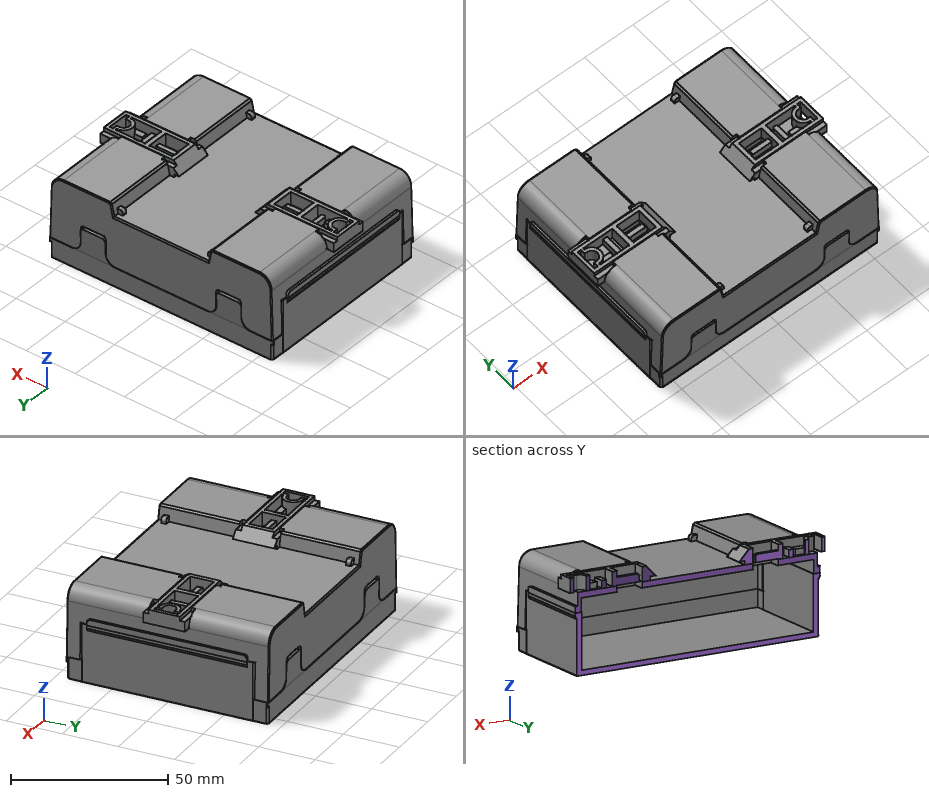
import cadquery as cq
import math

HEIGHT = 32.8
SPLIT_Z = 8.0
WALL = 2.1
REACH = 9.5

COVER_HALF_Y = 36.1
COVER_HALF_X_LOW = 45.3
COVER_HALF_X_HIGH = 44.7
CHANNEL_Z = 27.8
SHOULDER_R = HEIGHT - CHANNEL_Z
CHANNEL_FLOOR_X = 19.2
CHANNEL_TOP_X = 20.1
PAD_BEVEL_X = 0.8
PAD_BEVEL_Z = 0.6
EDGE_BEVEL = 0.4
CHANNEL_BEVEL = 0.7
CAVITY_TOP_Z = 25.65
CAVITY_HALF_X = COVER_HALF_X_LOW - WALL
CAVITY_HALF_Y = COVER_HALF_Y - WALL

OPENING_HALF_Y = 31.2
OPENING_TOP_Z = 21.1
LIP_HALF_Y = 28.5
LIP_X = 45.8
COVER_LIP_TOP_Z = 23.3
COVER_LIP_R = 1.1

PEG_X = 17.3
PEG_Y = 33.0
PEG_WIDTH = 1.8
PEG_HEIGHT = 1.9
PEG_R = 1.1

BASE_HALF_X = 45.1
BASE_HALF_Y = 35.9
BASE_CORNER_BEVEL = 0.7
BASE_BOTTOM_BEVEL = 0.4
FLOOR = 1.9
FLAP_X = 45.2
FLAP_HALF_Y = 30.5
FLAP_LIP_BOTTOM_Z = 19.0
FLAP_LIP_EDGE_Z = 20.0
EAR_X = 45.4
EAR_LOW_Z = 6.4
EAR_INNER_Y = 35.2

TAB_OUTER_X = 32.7
TAB_INNER_X = 22.3
TAB_SIDE_GAP = 0.3
TAB_TOP_Z = 17.3
TAB_TOP_GAP = 1.0
TAB_CORNER_R = 1.3
TAB_FLARE_R = 3.6
TAB_FLOOR_Y = COVER_HALF_Y - 1.2
TAB_TOP_Y = 36.24

CLIP_END_X = 47.5
CLIP_HALF_Y = 7.4
CLIP_NECK_HALF_Y = 5.6
CLIP_SHOULDER_Z = 31.35
CLIP_TOP_X = 19.1
CLIP_TIP_X = 15.5
CLIP_TIP_Z = 29.0
CLIP_FOOT_X = 17.5
POCKET_HALF_Y = 4.2
FRONT_POCKET_X = (20.7, 30.0)
REAR_POCKET_X = (31.8, 46.2)
RIB_END_X = 21.6
RIB_WIDTH = 1.8
RIB_TOP_Z = 30.7
RIB_END_BEVEL = 0.7
RING_X = 43.8
RING_R = 3.6
RING_BORE_R = 2.3
RING_END_X = 44.8
BAR_X = 34.9
BAR_WIDTH = 1.8
BAR_END_Y = 3.4
BAR_TOP_Z = 30.4
BAR_END_R = 0.6

GUIDE_NECK_HALF_Y = 5.9
GUIDE_OVERHANG_X = (22.4, 40.1)
STOP_X = (37.0, 41.8)
STOP_Y = (-3.2, -0.9)
STOP_TOP_Z = 29.9


def box(x_range, y_range, z_range):
    """Axis-aligned block between the given limits."""
    return cq.Workplane("XY").box(
        x_range[1] - x_range[0], y_range[1] - y_range[0], z_range[1] - z_range[0], centered=False
    ).translate((x_range[0], y_range[0], z_range[0]))


def mirrored(half, plane):
    """Shape together with its mirror image."""
    return half.union(half.mirror(plane))


def four_fold(quarter):
    """Quarter shape repeated in all four corners."""
    return mirrored(mirrored(quarter, "YZ"), "XZ")


def side_plane(y):
    """Sketch plane across Y, with x along X, y along Z and extrusion towards -Y."""
    return cq.Workplane("XZ", origin=(0, y, 0))


def tab_outline(y, inner_x, top_z, flare_r):
    """Snap tab seen along Y: an arch that flares out onto the joint line."""
    flare_z = SPLIT_Z + TAB_FLARE_R
    inner_flare_z = SPLIT_Z + flare_r
    outer_foot = TAB_OUTER_X + TAB_FLARE_R
    inner_foot = inner_x - flare_r
    reach = 1 - math.sqrt(0.5)
    return (
        side_plane(y)
        .moveTo(outer_foot, SPLIT_Z)
        .threePointArc(
            (TAB_OUTER_X + TAB_FLARE_R * reach, SPLIT_Z + TAB_FLARE_R * reach), (TAB_OUTER_X, flare_z)
        )
        .lineTo(TAB_OUTER_X, top_z - TAB_CORNER_R)
        .radiusArc((TAB_OUTER_X - TAB_CORNER_R, top_z), -TAB_CORNER_R)
        .lineTo(inner_x + TAB_CORNER_R, top_z)
        .radiusArc((inner_x, top_z - TAB_CORNER_R), -TAB_CORNER_R)
        .lineTo(inner_x, inner_flare_z)
        .threePointArc((inner_x - flare_r * reach, SPLIT_Z + flare_r * reach), (inner_foot, SPLIT_Z))
        .close()
    )


def snap_tabs():
    """Four snap tabs of the base, leaning outwards towards the top."""
    inner_x = TAB_INNER_X + TAB_SIDE_GAP
    outline = tab_outline(TAB_TOP_Y, inner_x, TAB_TOP_Z, TAB_FLARE_R + TAB_SIDE_GAP)
    tab = outline.extrude(TAB_TOP_Y - TAB_FLOOR_Y)
    outside = (
        cq.Workplane("YZ")
        .moveTo(BASE_HALF_Y, SPLIT_Z)
        .lineTo(TAB_TOP_Y, TAB_TOP_Z)
        .lineTo(TAB_TOP_Y + REACH, TAB_TOP_Z)
        .lineTo(TAB_TOP_Y + REACH, SPLIT_Z)
        .close()
        .extrude(COVER_HALF_X_LOW)
    )
    return four_fold(tab.cut(outside))


def snap_recesses():
    """Four recesses of the cover that take the snap tabs."""
    outline = tab_outline(COVER_HALF_Y + REACH, TAB_INNER_X, TAB_TOP_Z + TAB_TOP_GAP, TAB_FLARE_R)
    return four_fold(outline.extrude(COVER_HALF_Y + REACH - TAB_FLOOR_Y))


def cover_outline(y, bevel, floor_bevel):
    """Half of the cover seen along Y, drawn in by the bevel on all sides but the joint."""
    radius = SHOULDER_R - bevel
    side_x = COVER_HALF_X_HIGH - bevel
    top_z = HEIGHT - bevel
    arc_x = COVER_HALF_X_HIGH - SHOULDER_R
    return (
        side_plane(y)
        .moveTo(0, SPLIT_Z)
        .lineTo(COVER_HALF_X_LOW - bevel, SPLIT_Z)
        .lineTo(side_x, CHANNEL_Z)
        .radiusArc((arc_x, top_z), -radius)
        .lineTo(CHANNEL_TOP_X + PAD_BEVEL_X + bevel, top_z)
        .lineTo(CHANNEL_TOP_X + bevel, top_z - PAD_BEVEL_Z)
        .lineTo(CHANNEL_FLOOR_X + bevel, CHANNEL_Z - floor_bevel)
        .lineTo(0, CHANNEL_Z - floor_bevel)
        .close()
    )


def cover_block():
    """Solid cover with its two pads, channel and bevelled broad faces."""
    bevel_y = COVER_HALF_Y - EDGE_BEVEL
    middle = cover_outline(bevel_y, 0, 0).extrude(2 * bevel_y)
    inner_wire = cover_outline(bevel_y, 0, 0).val()
    outer_wire = cover_outline(COVER_HALF_Y, EDGE_BEVEL, CHANNEL_BEVEL).val()
    rim = cq.Workplane(cq.Solid.makeLoft([inner_wire, outer_wire], True))
    return mirrored(middle.union(mirrored(rim, "XZ")), "YZ")


def cover_lips():
    """Finger lip above each flap opening, with rounded upper corners."""
    lip = box((COVER_HALF_X_HIGH - WALL, LIP_X), (-LIP_HALF_Y, LIP_HALF_Y), (OPENING_TOP_Z, COVER_LIP_TOP_Z))
    return mirrored(lip.edges("|X and >Z").fillet(COVER_LIP_R), "YZ")


def pegs():
    """Rounded locating pegs in the corners of the channel."""
    peg = box(
        (PEG_X, CHANNEL_TOP_X + PAD_BEVEL_X),
        (PEG_Y - PEG_WIDTH / 2, PEG_Y + PEG_WIDTH / 2),
        (CHANNEL_Z, CHANNEL_Z + PEG_HEIGHT),
    )
    return four_fold(peg.edges("|Y and >Z and <X").fillet(PEG_R))


def clip_guides():
    """Slots that the clips slide in, with an overhang over the clip shoulders."""
    outer_x = CLIP_END_X + REACH
    inner_x = CLIP_TIP_X
    top_z = HEIGHT + REACH
    neck = box((inner_x, outer_x), (-GUIDE_NECK_HALF_Y, GUIDE_NECK_HALF_Y), (CHANNEL_Z, top_z))
    shoulder = box((inner_x, outer_x), (-CLIP_HALF_Y, CLIP_HALF_Y), (CHANNEL_Z, CLIP_SHOULDER_Z))
    outer_notch = box((GUIDE_OVERHANG_X[1], outer_x), (-CLIP_HALF_Y, CLIP_HALF_Y), (CHANNEL_Z, top_z))
    inner_notch = box((inner_x, GUIDE_OVERHANG_X[0]), (-CLIP_HALF_Y, CLIP_HALF_Y), (CHANNEL_Z, top_z))
    window = box(FRONT_POCKET_X, (-POCKET_HALF_Y, POCKET_HALF_Y), (CAVITY_TOP_Z, CHANNEL_Z))
    guide = neck.union(shoulder).union(outer_notch).union(inner_notch).union(window)
    return mirrored(guide, "YZ")


def clip_stops():
    """Blocks on the guide floor that stand in the rear clip pockets against the ring."""
    stop = box(STOP_X, STOP_Y, (CHANNEL_Z, STOP_TOP_Z))
    ring = cq.Workplane("XY", origin=(RING_X, 0, CHANNEL_Z)).circle(RING_R).extrude(HEIGHT - CHANNEL_Z)
    return mirrored(stop.cut(ring), "YZ")


def make_cover():
    cavity = box(
        (-CAVITY_HALF_X, CAVITY_HALF_X), (-CAVITY_HALF_Y, CAVITY_HALF_Y), (SPLIT_Z, CAVITY_TOP_Z)
    )
    openings = box(
        (-CLIP_END_X, CLIP_END_X), (-OPENING_HALF_Y, OPENING_HALF_Y), (SPLIT_Z, OPENING_TOP_Z)
    )
    return (
        cover_block()
        .union(cover_lips())
        .union(pegs())
        .cut(cavity)
        .cut(openings)
        .cut(snap_recesses())
        .cut(clip_guides())
        .union(clip_stops())
    )


def end_flaps():
    """Upright end walls filling the cover openings, each with a finger lip on top."""
    outline = (
        side_plane(FLAP_HALF_Y)
        .moveTo(FLAP_X - WALL, 0)
        .lineTo(FLAP_X - BASE_BOTTOM_BEVEL, 0)
        .lineTo(FLAP_X, BASE_BOTTOM_BEVEL)
        .lineTo(FLAP_X, OPENING_TOP_Z)
        .lineTo(FLAP_X - WALL, OPENING_TOP_Z)
        .close()
    )
    wall = outline.extrude(2 * FLAP_HALF_Y)
    lip = (
        side_plane(LIP_HALF_Y)
        .moveTo(FLAP_X, FLAP_LIP_BOTTOM_Z)
        .lineTo(LIP_X, FLAP_LIP_EDGE_Z)
        .lineTo(LIP_X, OPENING_TOP_Z)
        .lineTo(FLAP_X, OPENING_TOP_Z)
        .close()
        .extrude(2 * LIP_HALF_Y)
    )
    return mirrored(wall.union(lip), "YZ")


def make_base():
    block = box((-BASE_HALF_X, BASE_HALF_X), (-BASE_HALF_Y, BASE_HALF_Y), (0, SPLIT_Z))
    block = block.edges("|Z").chamfer(BASE_CORNER_BEVEL).faces("<Z").chamfer(BASE_BOTTOM_BEVEL)
    cavity = box((-CAVITY_HALF_X, CAVITY_HALF_X), (-CAVITY_HALF_Y, CAVITY_HALF_Y), (FLOOR, SPLIT_Z))
    ears = four_fold(
        box((CAVITY_HALF_X, EAR_X), (EAR_INNER_Y, BASE_HALF_Y), (EAR_LOW_Z, SPLIT_Z))
    )
    return block.cut(cavity).union(ears).union(end_flaps()).union(snap_tabs())


def clip_body():
    """Slider with a hooked nose and stepped shoulders."""
    body = (
        side_plane(CLIP_HALF_Y)
        .moveTo(CLIP_END_X, CHANNEL_Z)
        .lineTo(CLIP_FOOT_X, CHANNEL_Z)
        .lineTo(CLIP_FOOT_X, CLIP_TIP_Z)
        .lineTo(CLIP_TIP_X, CLIP_TIP_Z)
        .lineTo(CLIP_TOP_X, HEIGHT)
        .lineTo(CLIP_END_X, HEIGHT)
        .close()
        .extrude(2 * CLIP_HALF_Y)
    )
    shoulder = box(
        (0, CLIP_END_X), (CLIP_NECK_HALF_Y, CLIP_HALF_Y), (CLIP_SHOULDER_Z, HEIGHT)
    )
    return body.cut(mirrored(shoulder, "XZ"))


def clip_pockets():
    """Two openings that pass right through the clip."""
    y_range = (-POCKET_HALF_Y, POCKET_HALF_Y)
    z_range = (CHANNEL_Z, HEIGHT)
    return box(FRONT_POCKET_X, y_range, z_range).union(box(REAR_POCKET_X, y_range, z_range))


def clip_ring():
    """C-shaped ring in the rear pocket, joined to both side walls."""
    height = HEIGHT - CHANNEL_Z
    start = cq.Workplane("XY", origin=(RING_X, 0, CHANNEL_Z))
    ring = start.circle(RING_R).extrude(height)
    z_range = (CHANNEL_Z, HEIGHT)
    arms = box((RING_X, RING_END_X), (-POCKET_HALF_Y, POCKET_HALF_Y), z_range)
    bore = start.circle(RING_BORE_R).extrude(height)
    mouth = box((RING_X, RING_END_X), (-RING_BORE_R, RING_BORE_R), z_range)
    outside = box((RING_END_X, CLIP_END_X), (-POCKET_HALF_Y, POCKET_HALF_Y), z_range)
    return ring.union(arms).cut(bore).cut(mouth).cut(outside)


def clip_ribs():
    """Low ribs inside the pockets: one lengthwise and one crosswise."""
    rib = box((RIB_END_X, FRONT_POCKET_X[1]), (-RIB_WIDTH / 2, RIB_WIDTH / 2), (CHANNEL_Z, RIB_TOP_Z))
    bar = box(
        (BAR_X - BAR_WIDTH / 2, BAR_X + BAR_WIDTH / 2), (-POCKET_HALF_Y, BAR_END_Y), (CHANNEL_Z, BAR_TOP_Z)
    )
    rib = rib.edges("<X and >Z").chamfer(RIB_END_BEVEL)
    bar = bar.edges("|Z and >Y").fillet(BAR_END_R)
    return rib.union(bar)


def make_clip(turn):
    """Clip on the +X side, turned about Z by the given angle in degrees."""
    clip = clip_body().cut(clip_pockets()).union(clip_ring()).union(clip_ribs())
    return clip.rotate((0, 0, 0), (0, 0, 1), turn)


base = make_base()
cover = make_cover()
clips = [make_clip(turn) for turn in (0, 180)]

result = cq.Compound.makeCompound([base.val(), cover.val(), *[clip.val() for clip in clips]])